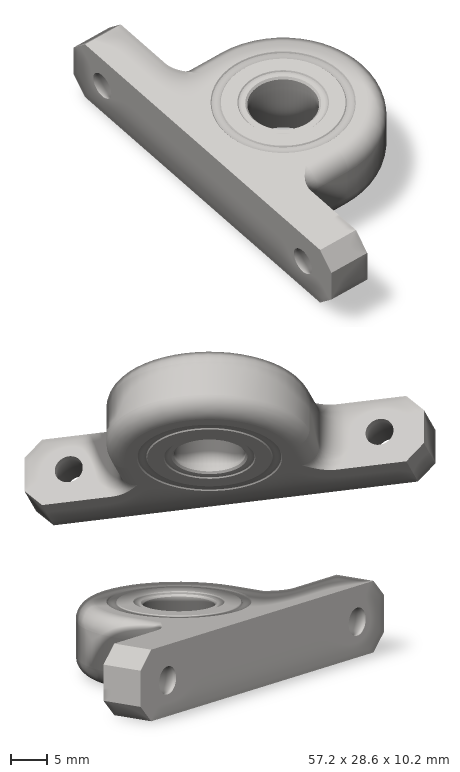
import cadquery as cq

length = 57.15
thickness = 10.2
base_depth = 6.35
corner_chamfer = 2.5

housing_radius = 14.3
axis_y = 14.3
edge_radius = 2.5
root_radius = 2.5

mount_spacing = 44.45
mount_diameter = 4.0

bore_radius = 5.0
bore_chamfer = 0.3
inner_ring_radius = 6.35
shield_radius = 8.65
bearing_radius = 10.05
ring_recess = 0.2
wall_slope = 0.145

half_thickness = thickness / 2
rounding_x = housing_radius - edge_radius
rounding_z = half_thickness - edge_radius
root_reach = edge_radius + root_radius


def make_base():
    """Rectangular mounting bar with its four end edges chamfered."""
    bar = cq.Workplane("XY").box(length, base_depth, thickness, centered=(True, False, True))
    return bar.edges("|Y").chamfer(corner_chamfer)


def make_housing():
    """Arched housing with a rounded rim on both faces."""
    outline = (
        cq.Workplane("XY", origin=(0, 0, -half_thickness))
        .moveTo(-housing_radius, 0)
        .lineTo(-housing_radius, axis_y)
        .threePointArc((0, axis_y + housing_radius), (housing_radius, axis_y))
        .lineTo(housing_radius, 0)
        .close()
    )
    arch = outline.extrude(thickness)
    rim = arch.faces("|Z").edges("not(<Y)")
    return rim.fillet(edge_radius)


def root_section(x, z):
    """Section from a rounding axis out to the concave root fillet, starting at (x, z)."""
    diagonal = root_radius * (1 - 0.5 ** 0.5)
    return (
        cq.Workplane("XY", origin=(x, 0, z))
        .moveTo(0, 0)
        .lineTo(root_reach, 0)
        .lineTo(root_reach, base_depth)
        .threePointArc(
            (edge_radius + diagonal, base_depth + diagonal),
            (edge_radius, base_depth + root_radius),
        )
        .lineTo(0, base_depth + root_radius)
        .close()
    )


def make_root():
    """Root fillet on the +X side, following the rounded rim and cut off flush with both faces."""
    root = root_section(rounding_x, -rounding_z).extrude(2 * rounding_z)
    for z in (-rounding_z, rounding_z):
        root = root.union(root_section(rounding_x, z).revolve(360, (0, 0, 0), (0, 1, 0)))
    limits = cq.Workplane("XY").box(2 * root_reach, length, thickness)
    return root.intersect(limits.translate((rounding_x + root_reach, 0, 0)))


def make_ring_recess(outer_radius, inner_radius):
    """Shallow annular recesses in both faces, narrowing by wall_slope at each sloped side."""
    recess_z = half_thickness - ring_recess
    recess = (
        cq.Workplane("XZ", origin=(0, axis_y, 0))
        .moveTo(inner_radius, half_thickness)
        .lineTo(outer_radius, half_thickness)
        .lineTo(outer_radius - wall_slope, recess_z)
        .lineTo(inner_radius + wall_slope, recess_z)
        .close()
        .revolve(360, (0, 0, 0), (0, 1, 0))
    )
    return recess.union(recess.mirror("XY"))


def make_bore():
    """Through bore, chamfered where it meets the recessed inner ring on each face."""
    ring_z = half_thickness - ring_recess
    mouth_radius = bore_radius + bore_chamfer
    return (
        cq.Workplane("XZ", origin=(0, axis_y, 0))
        .lineTo(0, half_thickness)
        .lineTo(mouth_radius, half_thickness)
        .lineTo(mouth_radius, ring_z)
        .lineTo(bore_radius, ring_z - bore_chamfer)
        .lineTo(bore_radius, bore_chamfer - ring_z)
        .lineTo(mouth_radius, -ring_z)
        .lineTo(mouth_radius, -half_thickness)
        .lineTo(0, -half_thickness)
        .close()
        .revolve(360, (0, 0, 0), (0, 1, 0))
    )


def make_mounting_holes():
    """Pair of holes through the depth of the bar."""
    return (
        cq.Workplane("XZ")
        .pushPoints([(-mount_spacing / 2, 0), (mount_spacing / 2, 0)])
        .circle(mount_diameter / 2)
        .extrude(-base_depth)
    )


root = make_root()
result = (
    make_base()
    .union(make_housing())
    .union(root)
    .union(root.mirror("YZ"))
    .cut(make_ring_recess(bearing_radius, shield_radius))
    .cut(make_ring_recess(inner_ring_radius, bore_radius))
    .cut(make_bore())
    .cut(make_mounting_holes())
)